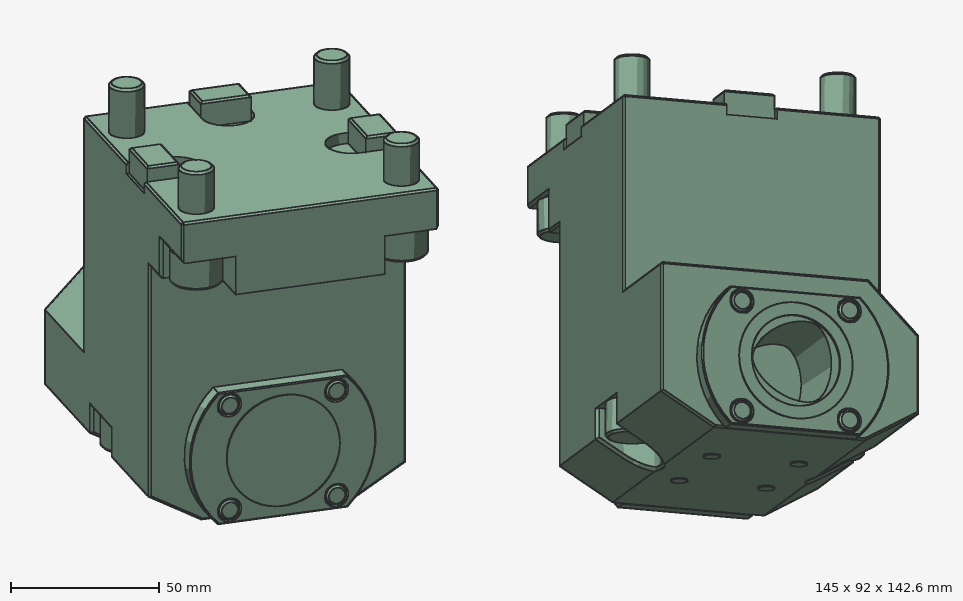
import cadquery as cq
import math

length = 145.0
width = 92.0
half_width = width / 2
foot_height = 0.5
body_bottom = foot_height
body_top = 124.7
edge_chamfer = 0.7

flange_thickness = 6.0
housing_start = flange_thickness
housing_end = 112.0
housing_top = 56.5
housing_top_cut = 18.0
slope_top = 11.5
slope_width = 19.0
column_start = 45.4
column_bottom = 29.0
overhang_bottom = 96.0

spindle_z = 24.5
flange_diameter = 66.7
flange_half_height = spindle_z - body_bottom
flange_chamfer = 0.5
ring_diameter = 40.5
ring_height = 0.5
mouth_diameter = 31.6
mouth_depth = 0.9

socket_radius = 14.0
socket_lobe = 1.2
socket_inset = 0.7
socket_depth = 30.0
socket_points = 48

flange_screw_offset = 19.1
flange_screw_head = 7.2
flange_screw_chamfer = 0.7
flange_screw_seat = 8.4
flange_screw_seat_depth = 2.9

screw_y = 36.7
long_screw_x = 63.1
short_screw_x = 133.4
screw_diameter = 12.0
head_diameter = 18.0
head_height = 12.0
long_screw_length = 120.4
short_screw_length = 30.0
screw_chamfer = 0.9
long_head_seat = 22.2
short_head_seat = 109.9
head_pocket_radius = 10.0
pocket_mouth_chamfer = 1.0

key_x = 98.0
key_width = 18.0
key_length = 11.6
key_top = 130.2
key_floor = 120.8
key_chamfer = 0.7
side_key_inset = 1.0
side_keyway_length = 23.5
front_key_inset = 2.8
front_keyway_length = 25.0

foot_diameter = 5.7
foot_center_x = (housing_start + housing_end) / 2
foot_spacing_x = 33.6
foot_spacing_y = 31.0


def box(x_range, y_range, z_range):
    """Box between pairs of limits."""
    corner = (x_range[0], y_range[0], z_range[0])
    size = (x_range[1] - x_range[0], y_range[1] - y_range[0], z_range[1] - z_range[0])
    return cq.Workplane("XY").box(*size, centered=False).translate(corner)


def rod_z(x, y, bottom, height, diameter):
    """Upright cylinder."""
    return cq.Workplane("XY", origin=(x, y, bottom)).circle(diameter / 2).extrude(height)


def spindle_plane(x):
    """Plane across the spindle axis; local axes are Y and Z, normal is +X."""
    return cq.Workplane("YZ", origin=(x, 0, spindle_z))


def make_housing():
    outline = [
        (-half_width, slope_top),
        (-half_width + slope_width, body_bottom),
        (half_width - slope_width, body_bottom),
        (half_width, slope_top),
        (half_width, housing_top),
        (-half_width + housing_top_cut, housing_top),
        (-half_width, housing_top - housing_top_cut),
    ]
    block = cq.Workplane("YZ", origin=(housing_start, 0, 0)).polyline(outline).close()
    block = block.extrude(housing_end - housing_start)
    block = block.faces("<X or >X").edges().add(block.edges("|X and >Y and >Z")).chamfer(edge_chamfer)
    for side in (-1, 1):
        block = block.cut(make_long_pocket(side))
        wall_side = ">Y" if side > 0 else "<Y"
        mouth = block.edges(long_pocket_mouth(side)).edges(f"{wall_side} or (not |Z)")
        block = mouth.chamfer(pocket_mouth_chamfer)
    return block


def make_column():
    outline = [
        (column_start, column_bottom),
        (housing_end, column_bottom),
        (housing_end, overhang_bottom),
        (length, overhang_bottom),
        (length, body_top),
        (column_start, body_top),
    ]
    column = cq.Workplane("XZ", origin=(0, half_width, 0)).polyline(outline).close().extrude(width)
    column = column.faces("<Y or >Y or >Z").edges("not(<Z)").chamfer(edge_chamfer)
    return column


def make_flange(outer_x, direction):
    """Flange with flats above and below, a raised ring and four screws; direction points outward."""
    face_x = outer_x - direction * ring_height
    inner_x = outer_x - direction * flange_thickness
    disc = spindle_plane(inner_x).circle(flange_diameter / 2).extrude(face_x - inner_x)
    flats = spindle_plane(inner_x).rect(flange_diameter, 2 * flange_half_height).extrude(face_x - inner_x)
    outer_side = ">X" if direction > 0 else "<X"
    flange = disc.intersect(flats).faces(outer_side).edges().chamfer(flange_chamfer)

    def screw_pattern(x):
        spacing = 2 * flange_screw_offset
        return spindle_plane(x).rect(spacing, spacing, forConstruction=True).vertices()

    seats = screw_pattern(face_x).circle(flange_screw_seat / 2).extrude(-direction * flange_screw_seat_depth)
    heads = screw_pattern(inner_x).circle(flange_screw_head / 2).extrude(outer_x - inner_x)
    heads = heads.faces(outer_side).edges().chamfer(flange_screw_chamfer)
    ring = spindle_plane(inner_x).circle(ring_diameter / 2).extrude(outer_x - inner_x)
    return flange.cut(seats).union(heads).union(ring)


def socket_section(x, radius):
    """Closed three-lobed wire with one lobe toward +Y."""
    points = []
    for i in range(socket_points):
        angle = 2 * math.pi * i / socket_points
        reach = radius + socket_lobe * math.cos(3 * angle)
        slope = -3 * socket_lobe * math.sin(3 * angle)
        y = reach * math.cos(angle) - slope * math.sin(angle)
        z = reach * math.sin(angle) + slope * math.cos(angle)
        points.append(cq.Vector(x, y, spindle_z + z))
    return cq.Wire.assembleEdges([cq.Edge.makeSpline(points, periodic=True)])


def make_socket():
    mouth = spindle_plane(0).circle(mouth_diameter / 2).extrude(mouth_depth)
    outer = socket_section(0, socket_radius)
    inner = socket_section(socket_depth, socket_radius - socket_inset)
    return mouth.union(cq.Workplane(cq.Solid.makeLoft([outer, inner])))


def make_screw(x, y, seat, shank_length):
    """Cap screw pointing up, with its head below the seat."""
    shank = rod_z(x, y, seat, shank_length, screw_diameter).faces(">Z").edges().chamfer(screw_chamfer)
    head = rod_z(x, y, seat - head_height, head_height, head_diameter)
    return shank.union(head.faces("<Z").edges().chamfer(screw_chamfer))


def make_long_pocket(side):
    """Round-backed pocket for a long screw's head, open to the side and below."""
    radius = head_pocket_radius
    round_back = rod_z(long_screw_x, side * screw_y, 0, long_head_seat, 2 * radius)
    y_range = sorted((side * screw_y, side * width))
    x_range = (long_screw_x - radius, long_screw_x + radius)
    return round_back.union(box(x_range, y_range, (0, long_head_seat)))


def long_pocket_mouth(side):
    """Selector for the edges of a long screw's pocket between its ceiling and the block's base."""
    reach = head_pocket_radius + edge_chamfer
    y_range = sorted((side * (screw_y - reach), side * width))
    return cq.selectors.BoxSelector(
        (long_screw_x - reach, y_range[0], body_bottom),
        (long_screw_x + reach, y_range[1], long_head_seat - edge_chamfer),
    )


def make_short_pocket(side):
    """Corner pocket for a short screw's head under the overhang, with a chamfered mouth."""
    radius = head_pocket_radius
    wall_x = short_screw_x - radius
    y_range = sorted((side * (screw_y - radius), side * half_width))
    pocket = box((wall_x, length + radius), y_range, (overhang_bottom - radius, short_head_seat))
    inner_y = "<Y" if side > 0 else ">Y"
    pocket = pocket.faces(inner_y).edges("|Z and <X").fillet(radius)
    mouth = cq.Workplane("XZ", origin=(0, side * half_width, 0))
    grow = pocket_mouth_chamfer
    corner = (wall_x - grow, short_head_seat + grow)
    outline = [
        corner,
        (length + radius, corner[1]),
        (length + radius, overhang_bottom - radius),
        (corner[0], overhang_bottom - radius),
    ]
    bevel = mouth.polyline(outline).close().extrude(side * radius, taper=45)
    return pocket.union(bevel)


def make_keyway(inset, keyway_length):
    """Keyway (cutter) and key along +X, starting from the side wall at the origin."""
    radius = key_width / 2
    depth_range = (key_floor, body_top + 1.5)
    slot = box((-1.5, keyway_length - radius), (-radius, radius), depth_range)
    slot = slot.union(rod_z(keyway_length - radius, 0, key_floor, depth_range[1] - key_floor, key_width))
    key = box((inset, inset + key_length), (-radius, radius), (key_floor, key_top))
    return slot, key.faces(">Z").edges().chamfer(key_chamfer)


result = make_housing().union(make_column())
result = result.union(make_flange(0, -1)).union(make_flange(housing_end + flange_thickness, 1))
result = result.cut(make_socket())

for x, y, turn, inset, keyway_length in (
    (column_start, 0, 0, front_key_inset, front_keyway_length),
    (key_x, -half_width, 90, side_key_inset, side_keyway_length),
    (key_x, half_width, -90, side_key_inset, side_keyway_length),
):
    keyway, key = [
        shape.rotate((0, 0, 0), (0, 0, 1), turn).translate((x, y, 0))
        for shape in make_keyway(inset, keyway_length)
    ]
    result = result.cut(keyway).union(key)

for side in (-1, 1):
    result = result.cut(make_short_pocket(side))
    result = result.union(make_screw(long_screw_x, side * screw_y, long_head_seat, long_screw_length))
    result = result.union(make_screw(short_screw_x, side * screw_y, short_head_seat, short_screw_length))

for x_side in (-1, 1):
    for y_side in (-1, 1):
        foot_x = foot_center_x + x_side * foot_spacing_x / 2
        result = result.union(rod_z(foot_x, y_side * foot_spacing_y / 2, 0, 2 * foot_height, foot_diameter))